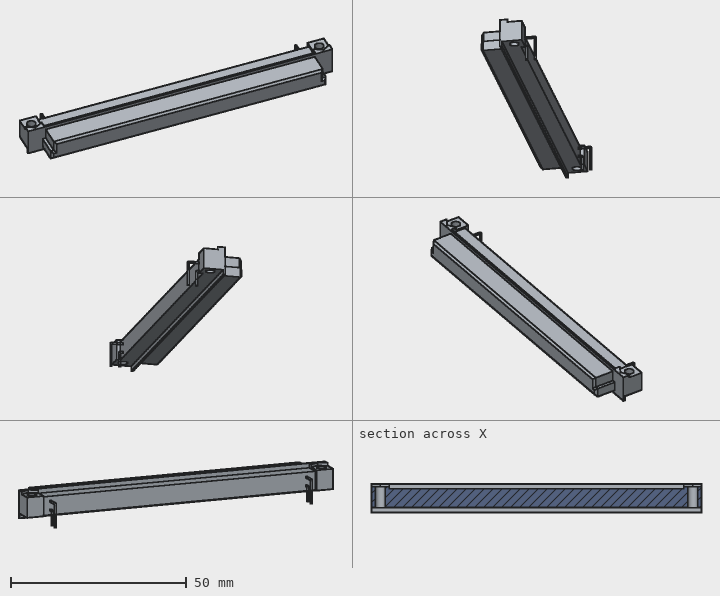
import cadquery as cq
import math

length = 94.0
flange_thickness = 0.6
flange_height = 8.2

back_depth = 5.2
back_top = -1.3
back_bottom = -6.8

ear_depth = 6.3
ear_width = 5.1
hole_diameter = 2.6
hole_x = -3.7
nut_seat_z = -0.8

plug_length = 6.5
plug_top = -1.0
plug_bottom = -7.05
plug_step_z = -4.2
plug_upper_width = 83.1
plug_lower_width = 85.1
plug_chamfer = 0.7

pin_diameter = 0.6
pin_bend = 0.4
pin_pitch = 2.5
pin_rows = 2
pin_span = 78.6
pin_tip_z = -9.7
first_row_x = -8.7
first_row_z = -2.8

ear_y = (length - ear_width) / 2
nut_across_corners = ear_width / math.cos(math.radians(30))
pin_radius = pin_diameter / 2


def box(x_range, width, z_range, y_center=0.0):
    """Box between two X values and two Z values, centered on y_center."""
    x_min, x_max = x_range
    z_min, z_max = z_range
    return (
        cq.Workplane("XY")
        .box(x_max - x_min, width, z_max - z_min, centered=(False, True, False))
        .translate((x_min, y_center, z_min))
    )


def make_plug():
    """Stepped plug with a chamfer around its mating end."""
    upper = plug_upper_width / 2
    lower = plug_lower_width / 2
    return (
        cq.Workplane("YZ")
        .polyline([
            (-lower, plug_bottom),
            (lower, plug_bottom),
            (lower, plug_step_z),
            (upper, plug_step_z),
            (upper, plug_top),
            (-upper, plug_top),
            (-upper, plug_step_z),
            (-lower, plug_step_z),
        ])
        .close()
        .extrude(plug_length)
        .faces(">X")
        .chamfer(plug_chamfer)
    )


def make_ear(y_center):
    """Mounting ear with a screw hole and a hexagonal nut pocket open to the rear and sides."""
    ear = box((-ear_depth, 0), ear_width, (back_bottom, 0), y_center)
    nut_pocket = (
        cq.Workplane("XY")
        .center(hole_x, y_center)
        .polygon(6, nut_across_corners)
        .extrude(nut_seat_z)
    )
    pocket_rear = box((-ear_depth, hole_x), ear_width, (nut_seat_z, 0), y_center)
    screw_hole = (
        cq.Workplane("XY")
        .center(hole_x, y_center)
        .circle(hole_diameter / 2)
        .extrude(back_bottom)
    )
    return ear.cut(nut_pocket).cut(pocket_rear).cut(screw_hole)


def make_housing():
    """Flange, rear block, plug and both ears as one molded body."""
    flange = box((-flange_thickness, 0), length, (-flange_height, 0))
    back = box((-back_depth, 0), length - 2 * ear_width, (back_bottom, back_top))
    housing = flange.union(back).union(make_plug())
    for side in (-1, 1):
        housing = housing.union(make_ear(side * ear_y))
    return housing


def make_pin(row, y):
    """Round right-angle pin from the rear face of the housing down to its tip."""
    x = first_row_x + row * pin_pitch
    z = first_row_z - row * pin_pitch
    path = (
        cq.Workplane("XZ", origin=(0, y, 0))
        .moveTo(-back_depth, z)
        .lineTo(x + pin_bend, z)
        .tangentArcPoint((-pin_bend, -pin_bend))
        .lineTo(x, pin_tip_z)
    )
    return (
        cq.Workplane("YZ", origin=(-back_depth, y, z))
        .circle(pin_radius)
        .sweep(path)
    )


housing = make_housing()

pins = []
for end in (-1, 1):
    for row in range(pin_rows):
        pins.append(make_pin(row, end * pin_span / 2))

result = cq.Compound.makeCompound([housing.val(), *[pin.val() for pin in pins]])